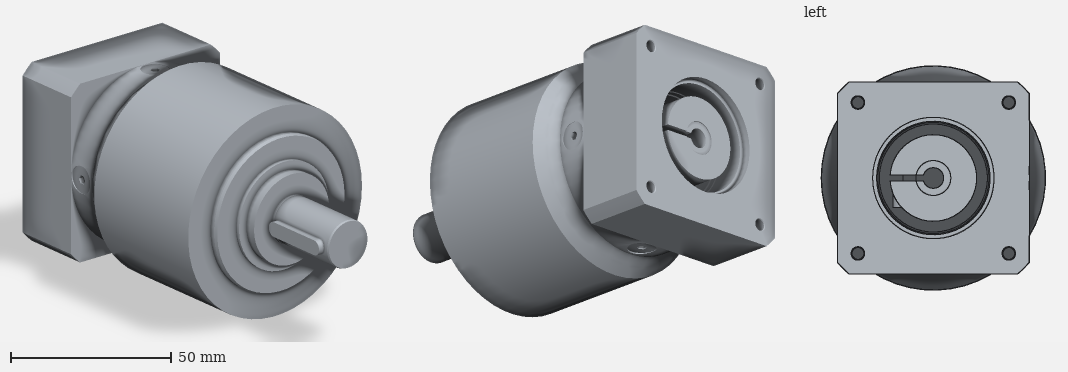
import cadquery as cq

flange_width = 60.0
flange_corner_radius = 39.9
flange_end = 23.9
bolt_spacing = 47.1
bolt_radius = 1.9
bolt_countersink = 0.2
bolt_depth = 9.9

neck_radius = flange_width / 2
neck_end = 34.5
body_start = 41.5
body_end = 87.9
body_diameter = 70.0
body_radius = body_diameter / 2
pilot_end = 90.8
pilot_radius = 26.0
pilot_chamfer_length = 1.1
pilot_chamfer_height = 0.4
seal_ring_end = 92.3
seal_ring_radius = 18.1
shaft_collar_end = 96.1
shaft_collar_radius = 15.1
shaft_shoulder_end = 97.1
shaft_shoulder_radius = 8.2
shaft_end = 124.0
shaft_diameter = 16.0
shaft_radius = shaft_diameter / 2
shaft_chamfer = 0.6
shaft_chamfer_height = 0.2

key_start = 97.0
key_length = 24.8
key_width = 5.0
key_top = 9.9

plug_count = 4
plug_x = 28.8
plug_radius = 4.6
plug_face = 29.5
plug_socket_size = 3.1
plug_socket_depth = 1.5

recess_radius = 19.0
recess_depth = 3.0
bore_radius = 17.7
bore_depth = 12.4
inner_bore_radius = 17.4
inner_bore_depth = 14.3
floor_bore_radius = 16.9
floor_depth = 21.1

hub_radius = 13.5
hub_front = recess_depth
sleeve_radius = 5.5
sleeve_setback = 0.4
hub_bore_radius = 3.2
hub_bore_depth = 17.4
slit_width = 1.9
slit_step_y = 9.5
inner_slit_depth = 12.4

screw_head_radius = 3.0
screw_x = 8.0
screw_y = 9.7
screw_head_bottom = -9.2
screw_head_height = 5.0


def cylinder(radius, start, end):
    """Round bar along X between two X positions."""
    return cq.Workplane("YZ").workplane(offset=start).circle(radius).extrude(end - start)


def make_flange():
    square = cq.Workplane("YZ").rect(flange_width, flange_width).extrude(flange_end)
    return square.intersect(cylinder(flange_corner_radius, 0, flange_end))


def make_housing():
    """Neck, body, pilot and shaft as one turned profile."""
    profile = [
        (flange_end, 0),
        (flange_end, neck_radius),
        (neck_end, neck_radius),
        (body_start, body_radius),
        (body_end, body_radius),
        (body_end, pilot_radius),
        (pilot_end - pilot_chamfer_length, pilot_radius),
        (pilot_end, pilot_radius - pilot_chamfer_height),
        (pilot_end, seal_ring_radius),
        (seal_ring_end, seal_ring_radius),
        (seal_ring_end, shaft_collar_radius),
        (shaft_collar_end, shaft_collar_radius),
        (shaft_collar_end, shaft_shoulder_radius),
        (shaft_shoulder_end, shaft_shoulder_radius),
        (shaft_shoulder_end, shaft_radius),
        (shaft_end - shaft_chamfer, shaft_radius),
        (shaft_end, shaft_radius - shaft_chamfer_height),
        (shaft_end, 0),
    ]
    return cq.Workplane("XY").polyline(profile).close().revolve(360, (0, 0, 0), (1, 0, 0))


def make_key():
    return (
        cq.Workplane("XZ")
        .center(key_start + key_length / 2, 0)
        .slot2D(key_length, key_width)
        .extrude(key_top)
    )


def make_bolt_holes():
    mouth_radius = bolt_radius + bolt_countersink
    profile = [
        (0, 0),
        (0, mouth_radius),
        (bolt_countersink, bolt_radius),
        (bolt_depth, bolt_radius),
        (bolt_depth, 0),
    ]
    hole = cq.Workplane("XY").polyline(profile).close().revolve(360, (0, 0, 0), (1, 0, 0))
    offset = bolt_spacing / 2
    holes = cq.Workplane("XY")
    for y in (-offset, offset):
        for z in (-offset, offset):
            holes = holes.add(hole.translate((0, y, z)))
    return holes.combine()


def make_plug_cuts():
    """Flat-bottomed round recesses with a hexagon socket, evenly spaced around the neck."""
    recess = (
        cq.Workplane("XY", origin=(plug_x, 0, plug_face))
        .circle(plug_radius)
        .extrude(body_radius - plug_face)
    )
    socket = (
        cq.Workplane("XY", origin=(plug_x, 0, plug_face))
        .polygon(6, plug_socket_size)
        .extrude(-plug_socket_depth)
    )
    cut = recess.union(socket)
    cuts = cq.Workplane("XY")
    for index in range(plug_count):
        cuts = cuts.add(cut.rotate((0, 0, 0), (1, 0, 0), index * 360 / plug_count))
    return cuts.combine()


def make_motor_opening():
    return (
        cylinder(recess_radius, 0, recess_depth)
        .union(cylinder(bore_radius, 0, bore_depth))
        .union(cylinder(inner_bore_radius, 0, inner_bore_depth))
        .union(cylinder(floor_bore_radius, 0, floor_depth))
    )


def make_slit_section(y_end, depth):
    """Slit from the hub axis out to y_end, cut down to an X position."""
    return cq.Workplane("XY").box(depth, y_end, slit_width, centered=(False, False, True))


def make_clamp_hub():
    hub = cylinder(hub_radius, hub_front, floor_depth)
    hub = hub.cut(cylinder(sleeve_radius, hub_front, hub_front + sleeve_setback))
    hub = hub.cut(cylinder(hub_bore_radius, hub_front, hub_bore_depth))
    sleeve = cylinder(sleeve_radius, 0, floor_depth)
    outer_slit = make_slit_section(floor_bore_radius, floor_depth).cut(
        make_slit_section(slit_step_y, floor_depth)
    )
    inner_slit = make_slit_section(slit_step_y, inner_slit_depth).cut(sleeve)
    sleeve_slit = make_slit_section(slit_step_y, hub_bore_depth).intersect(sleeve)
    hub = hub.cut(outer_slit).cut(inner_slit).cut(sleeve_slit)
    screw_head = (
        cq.Workplane("XY", origin=(screw_x, screw_y, screw_head_bottom))
        .circle(screw_head_radius)
        .extrude(screw_head_height)
    )
    return hub.union(screw_head)


result = make_flange().union(make_housing()).union(make_key())
result = result.cut(make_plug_cuts()).cut(make_bolt_holes())
result = result.cut(make_motor_opening())
result = result.union(make_clamp_hub())